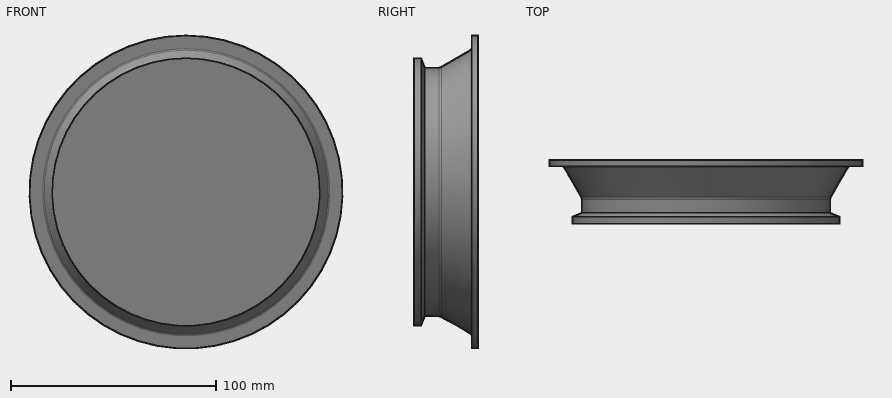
import cadquery as cq
import math

OVERALL_DEPTH = 31.24

REAR_FLANGE_RADIUS = 152.4 / 2
REAR_FLANGE_THICKNESS = 3.2

FRONT_FLANGE_RADIUS = 130.2 / 2
FRONT_RIM_WIDTH = 3.5
BEVEL_DEPTH = 1.9

GROOVE_RADIUS = 60.5
GROOVE_START = 18.6
CONE_HALF_ANGLE = 30.0

REAR_FILLET = 0.8
GROOVE_FILLET = 2.4

MATCH_TOLERANCE = 1e-3

rear_y = OVERALL_DEPTH / 2

bevel_end = OVERALL_DEPTH - FRONT_RIM_WIDTH
bevel_start = bevel_end - BEVEL_DEPTH
cone_length = GROOVE_START - REAR_FLANGE_THICKNESS
cone_base_radius = GROOVE_RADIUS + cone_length * math.tan(math.radians(CONE_HALF_ANGLE))


def turned_body():
    """Revolve the half profile, given as (radius, distance from rear), about Y."""
    profile = [
        (0, 0),
        (REAR_FLANGE_RADIUS, 0),
        (REAR_FLANGE_RADIUS, REAR_FLANGE_THICKNESS),
        (cone_base_radius, REAR_FLANGE_THICKNESS),
        (GROOVE_RADIUS, GROOVE_START),
        (GROOVE_RADIUS, bevel_start),
        (FRONT_FLANGE_RADIUS, bevel_end),
        (FRONT_FLANGE_RADIUS, OVERALL_DEPTH),
        (0, OVERALL_DEPTH),
    ]
    points = [(rear_y - distance, radius) for radius, distance in profile]
    return cq.Workplane("YZ").polyline(points).close().revolve(360, (0, 0, 0), (1, 0, 0))


def fillet_ring(body, radius, distance, fillet):
    """Round the circular edge at the given radius and distance from the rear face."""
    ring_y = rear_y - distance
    rings = [
        edge
        for edge in body.edges("%CIRCLE").vals()
        if abs(edge.Center().y - ring_y) < MATCH_TOLERANCE
        and abs(edge.radius() - radius) < MATCH_TOLERANCE
    ]
    return body.newObject(rings).fillet(fillet)


result = turned_body()
result = fillet_ring(result, cone_base_radius, REAR_FLANGE_THICKNESS, REAR_FILLET)
result = fillet_ring(result, GROOVE_RADIUS, GROOVE_START, GROOVE_FILLET)